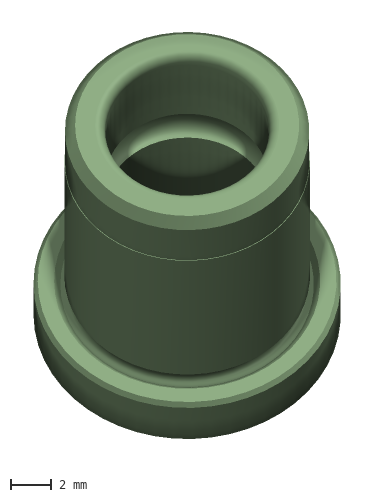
import cadquery as cq
import math

height = 16.0
flange_radius = 7.5
flange_height = 3.0
flange_chamfer = 0.2
body_radius = 6.0
pilot_radius = 5.97
pilot_height = 3.0
pilot_chamfer = 0.5
bore_radius = 4.0
mouth_fillet = 0.5
ring_top = 11.4
ring_round = 1.0

undercut_leg = 0.5
undercut_depth = 0.3
undercut_round = 0.29

pilot_bottom = height - pilot_height
undercut_floor = flange_height - undercut_depth

wall_top = flange_height + undercut_leg
sharp_corner_radius = body_radius - (wall_top - undercut_floor)

wall_angle = math.radians(45)
tangent_length = undercut_round / math.tan(wall_angle / 2)
floor_tangent = (sharp_corner_radius + tangent_length, undercut_floor)
wall_tangent = (
    sharp_corner_radius + tangent_length * math.cos(wall_angle),
    undercut_floor + tangent_length * math.sin(wall_angle),
)


def make_outside():
    """Flange, undercut, body and pilot revolved as one solid without the bore."""
    profile = (
        cq.Workplane("XZ")
        .moveTo(0, 0)
        .lineTo(flange_radius - flange_chamfer, 0)
        .lineTo(flange_radius, flange_chamfer)
        .lineTo(flange_radius, flange_height - flange_chamfer)
        .lineTo(flange_radius - flange_chamfer, flange_height)
        .lineTo(body_radius + undercut_leg, flange_height)
        .lineTo(body_radius + undercut_leg - undercut_depth, undercut_floor)
        .lineTo(*floor_tangent)
        .tangentArcPoint(wall_tangent, relative=False)
        .lineTo(body_radius, wall_top)
        .lineTo(body_radius, pilot_bottom)
        .lineTo(pilot_radius, pilot_bottom)
        .lineTo(pilot_radius, height - pilot_chamfer)
        .lineTo(pilot_radius - pilot_chamfer, height)
        .lineTo(0, height)
        .close()
    )
    return profile.revolve(360, (0, 0, 0), (0, 1, 0))


def cut_bore(solid):
    """Through bore with a rounded upper mouth and a half-round ring groove."""
    bored = solid.faces(">Z").workplane().circle(bore_radius).cutThruAll()
    inner_edge = cq.selectors.RadiusNthSelector(0)
    bored = bored.faces(">Z").edges(inner_edge).fillet(mouth_fillet)
    ring = (
        cq.Workplane("XZ")
        .moveTo(0, ring_top - 2 * ring_round)
        .lineTo(bore_radius, ring_top - 2 * ring_round)
        .threePointArc((bore_radius + ring_round, ring_top - ring_round), (bore_radius, ring_top))
        .lineTo(0, ring_top)
        .close()
        .revolve(360, (0, 0, 0), (0, 1, 0))
    )
    return bored.cut(ring)


result = cut_bore(make_outside())